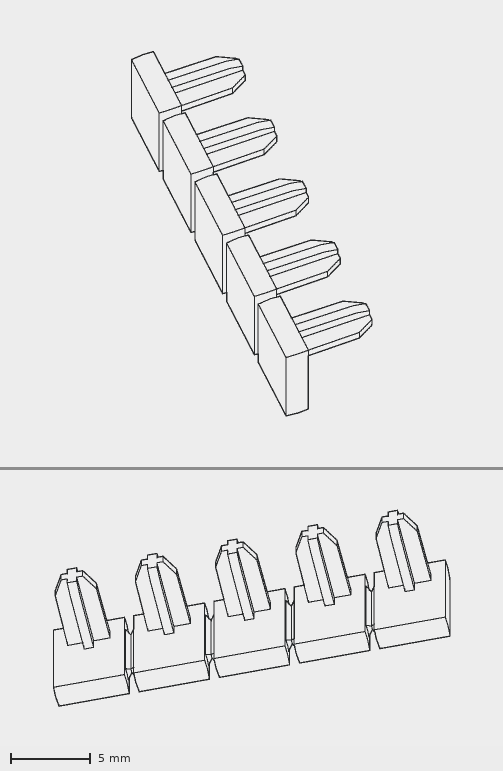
import cadquery as cq

strip_length = 25.2
plate_count = 5
plate_width = 4.6
plate_height = 6.3
pitch = (strip_length - plate_width) / (plate_count - 1)
gap = pitch - plate_width

front_depth = 0.83
back_depth = 0.68
front_draft = 0.05
back_draft = 0.03

post_length = 5.0
post_z = 1.45
rib_thickness = 0.6
wide_rib_root = 2.72
wide_rib_shoulder = 2.65
wide_rib_tip = 1.39
wide_rib_bevel = 1.13
tall_rib_root = 2.05
tall_rib_shoulder = 1.92
tall_rib_tip = 1.45
tall_rib_bevel = 0.9

neck_depth = 0.3
neck_height = 3.73
bridge_overlap = 0.08


def rectangular_frustum(plane, start_size, end_size, length):
    """Solid along the plane normal, blending one centred rectangle into another."""
    return (
        cq.Workplane(plane)
        .rect(*start_size)
        .workplane(offset=length)
        .rect(*end_size)
        .loft(ruled=True)
    )


def make_plate():
    """Plate drafted both ways from the parting plane."""
    parting = (plate_width, plate_height)
    front = (plate_width - 2 * front_draft, plate_height - 2 * front_draft)
    back = (plate_width - 2 * back_draft, plate_height - 2 * back_draft)
    front_half = rectangular_frustum(cq.Plane.XZ(), parting, front, front_depth)
    back_half = rectangular_frustum(cq.Plane.XZ(), parting, back, -back_depth)
    return front_half.union(back_half)


def make_rib(root, shoulder, tip, bevel):
    """Rib lying in the XY plane: slight taper to the shoulder, then a bevelled tip."""
    shoulder_y = back_depth + post_length - bevel
    tip_y = back_depth + post_length
    return (
        cq.Workplane("XY")
        .polyline([
            (-root / 2, back_depth),
            (-shoulder / 2, shoulder_y),
            (-tip / 2, tip_y),
            (tip / 2, tip_y),
            (shoulder / 2, shoulder_y),
            (root / 2, back_depth),
        ])
        .close()
        .extrude(rib_thickness / 2, both=True)
    )


def make_post():
    """Two ribs crossing on the post axis."""
    wide_rib = make_rib(wide_rib_root, wide_rib_shoulder, wide_rib_tip, wide_rib_bevel)
    tall_rib = make_rib(tall_rib_root, tall_rib_shoulder, tall_rib_tip, tall_rib_bevel)
    tall_rib = tall_rib.rotate((0, 0, 0), (0, 1, 0), 90)
    return wide_rib.union(tall_rib).translate((0, 0, post_z))


def make_bridge():
    """Hourglass bridge centred on a gap, its neck on the parting plane."""
    reach = gap / 2 + bridge_overlap
    neck = (neck_depth, neck_height)
    root = (neck_depth + 2 * reach, neck_height + 2 * reach)
    right_half = rectangular_frustum(cq.Plane.YZ(), neck, root, reach)
    left_half = rectangular_frustum(cq.Plane.YZ(), neck, root, -reach)
    return right_half.union(left_half)


unit = make_plate().union(make_post())
bridge = make_bridge()
first_x = -(strip_length - plate_width) / 2

result = unit.translate((first_x, 0, 0))
for index in range(1, plate_count):
    unit_x = first_x + index * pitch
    result = result.union(bridge.translate((unit_x - pitch / 2, 0, 0)))
    result = result.union(unit.translate((unit_x, 0, 0)))